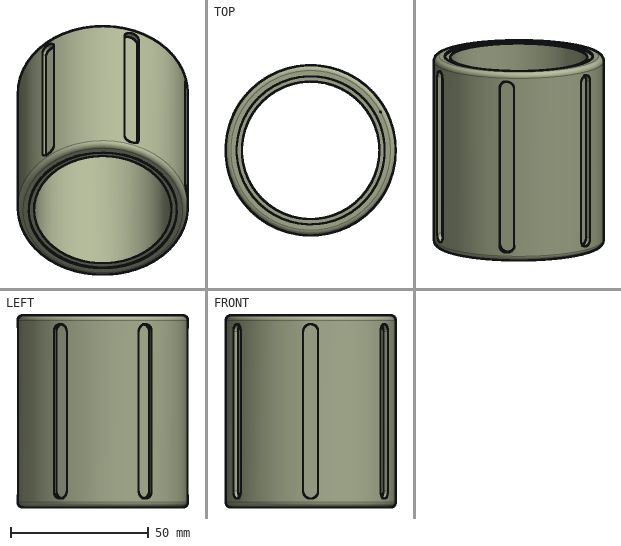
import cadquery as cq

height = 70.0
outer_radius = 31.0
bore_radius = 25.0
edge_fillet = 1.95

recess_radius = 26.95
recess_depth = 0.5

slot_count = 6
slot_width = 5.45
slot_length = 63.5
slot_floor_radius = 29.0
slot_angle_step = 360.0 / slot_count


def make_sleeve():
    """Rounded tube standing on the XY plane, with a recessed ring at both ends."""
    body = cq.Workplane("XY").circle(outer_radius).extrude(height)
    body = body.faces("<Z or >Z").edges().fillet(edge_fillet)
    bore = cq.Workplane("XY").circle(bore_radius).extrude(height)
    recess = cq.Workplane("XY").circle(recess_radius).extrude(recess_depth)
    top_recess = recess.translate((0, 0, height - recess_depth))
    return body.cut(bore).cut(recess).cut(top_recess)


def make_slot_cutter():
    """Upright slot on the -Y side, running outward from its flat floor."""
    return (
        cq.Workplane("XZ", origin=(0, -slot_floor_radius, height / 2))
        .slot2D(slot_length, slot_width, 90)
        .extrude(outer_radius - slot_floor_radius)
    )


result = make_sleeve()
slot_cutter = make_slot_cutter()
for index in range(slot_count):
    result = result.cut(slot_cutter.rotate((0, 0, 0), (0, 0, 1), index * slot_angle_step))